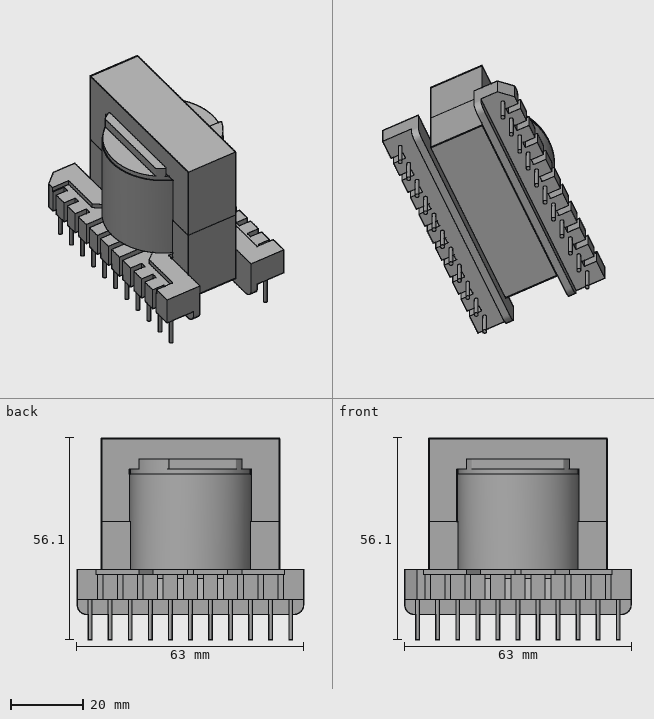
import cadquery as cq

length = 62.95
width = 38.89
rail_inner_y = 8.5
rail_height = 8.4
web_thickness = 1.4
web_length = 31.5
corner_cut_x = 3.4
corner_cut_y = 3.75

recess_length = 52.35
recess_back_y = 14.05
recess_funnel_mouth_x = 14.3
recess_funnel_end_x = 10.35
recess_funnel_end_y = 9.25
wire_slit_width = 1.6

pin_count = 11
pitch = 5.57
slot_width = 1.6
slot_depth = 3.7
ramped_slots = 4
ramp_height = 5.8

pin_diameter = 1.1
pin_length = 11.2
pin_y = 15.7
foot_depth = 4.2
foot_thickness = 2.15
foot_corner_radius = 2.8

tube_inner_radius = 8.2
tube_outer_radius = recess_funnel_end_y
flange_radius = 16.7
flange_thickness = web_thickness
ridge_inner_y = 8.25
ridge_outer_y = 10.85
ridge_height = 2.8
end_block_x = 5.95
ridge_edge_radius = 0.3

winding_radius = 16.93
tape_thickness = 0.25
tape_corner_radius = tape_thickness
overall_height = 56.09
core_width = 49.1
core_depth = 15.7
core_yoke = 8.4
leg_radius = core_depth / 2
upper_window_width = 2 * winding_radius
lower_window_width = 33.4

web_bottom = rail_height - web_thickness
core_bottom = web_bottom - core_yoke
tape_top = overall_height - pin_length
core_top = tape_top - tape_thickness
core_split = (core_bottom + core_top) / 2
flange_top = core_top - core_yoke
winding_top = flange_top - flange_thickness


def box(x_min, x_max, y_min, y_max, z_min, z_max):
    return (
        cq.Workplane("XY")
        .box(x_max - x_min, y_max - y_min, z_max - z_min, centered=False)
        .translate((x_min, y_min, z_min))
    )


def cylinder(radius, z_min, z_max):
    return cq.Workplane("XY").workplane(offset=z_min).circle(radius).extrude(z_max - z_min)


def make_recess():
    half = recess_length / 2
    outline = [
        (-half, -width / 2),
        (-half, -recess_back_y),
        (-recess_funnel_mouth_x, -recess_back_y),
        (-recess_funnel_end_x, -recess_funnel_end_y),
        (recess_funnel_end_x, -recess_funnel_end_y),
        (recess_funnel_mouth_x, -recess_back_y),
        (half, -recess_back_y),
        (half, -width / 2),
    ]
    recess = cq.Workplane("XY").workplane(offset=web_bottom).polyline(outline).close().extrude(web_thickness)
    slit = box(-wire_slit_width / 2, wire_slit_width / 2, -recess_funnel_end_y, 0, web_bottom, rail_height)
    return recess.union(slit)


def make_slots():
    slot_end_y = -width / 2 + slot_depth
    slots = cq.Workplane("XY")
    ramp_outline = [
        (slot_end_y, 0),
        (slot_end_y, web_bottom),
        (slot_end_y + ramp_height, web_bottom),
        (slot_end_y + ramp_height, ramp_height),
    ]
    for i in range(pin_count - 1):
        x = (i - (pin_count - 2) / 2) * pitch
        slots = slots.union(
            box(x - slot_width / 2, x + slot_width / 2, -width / 2, slot_end_y, 0, rail_height)
        )
        if abs(x) < ramped_slots / 2 * pitch:
            ramp = (
                cq.Workplane("YZ", origin=(x, 0, 0))
                .polyline(ramp_outline)
                .close()
                .extrude(slot_width / 2, both=True)
            )
            slots = slots.union(ramp)
    return slots


def make_rail():
    rail = box(-length / 2, length / 2, -width / 2, -rail_inner_y, 0, rail_height)
    rail = rail.cut(make_recess()).cut(make_slots())
    foot = (
        box(
            -length / 2, length / 2,
            -rail_inner_y - foot_thickness, -rail_inner_y,
            -foot_depth, 0,
        )
        .edges("<Z and |Y")
        .fillet(foot_corner_radius)
    )
    rail = rail.union(foot)
    for i in range(pin_count):
        x = (i - (pin_count - 1) / 2) * pitch
        pin = cylinder(pin_diameter / 2, -pin_length, 0).translate((x, -pin_y, 0))
        rail = rail.union(pin)
    return rail


def make_corner_cut():
    return (
        cq.Workplane("XY")
        .moveTo(-length / 2, -width / 2)
        .lineTo(-length / 2 + corner_cut_x, -width / 2)
        .lineTo(-length / 2, -width / 2 + corner_cut_y)
        .close()
        .extrude(rail_height)
    )


def make_flange():
    flange = cylinder(flange_radius, winding_top, flange_top)
    ridge_top = flange_top + ridge_height
    r = flange_radius
    rim = cylinder(r, flange_top, ridge_top)
    front_ridge = box(-r, r, -ridge_outer_y, -ridge_inner_y, flange_top, ridge_top).intersect(rim)
    back_ridge = box(-r, r, ridge_inner_y, ridge_outer_y, flange_top, ridge_top)
    end_block = box(end_block_x, r, ridge_inner_y, r, flange_top, ridge_top)
    back_ridge = back_ridge.union(end_block).intersect(rim).clean()
    front_ridge = front_ridge.edges("|Z").fillet(ridge_edge_radius)
    back_ridge = back_ridge.edges("|Z").fillet(ridge_edge_radius)
    return flange.union(front_ridge).union(back_ridge)


def make_former():
    front_rail = make_rail().cut(make_corner_cut())
    back_rail = make_rail().mirror("XZ")
    web = box(-web_length / 2, web_length / 2, -rail_inner_y, rail_inner_y, web_bottom, rail_height)
    web = web.cut(make_recess()).cut(make_recess().mirror("XZ"))
    former = web.union(front_rail).union(back_rail)
    former = former.union(cylinder(tube_outer_radius, rail_height, winding_top)).union(make_flange())
    return former.cut(cylinder(tube_inner_radius, web_bottom, flange_top))


def make_winding():
    coil = cylinder(winding_radius, rail_height, winding_top)
    coil = coil.cut(cylinder(tube_outer_radius, rail_height, winding_top))
    half_window = lower_window_width / 2
    for x_min, x_max in [(half_window, winding_radius), (-winding_radius, -half_window)]:
        coil = coil.cut(box(x_min, x_max, -core_depth / 2, core_depth / 2, rail_height, core_split))
    return coil


def make_core_half(z_min, z_max, window_width):
    half = box(-core_width / 2, core_width / 2, -core_depth / 2, core_depth / 2, z_min, z_max)
    window = box(
        -window_width / 2, window_width / 2, -core_depth / 2, core_depth / 2, web_bottom, flange_top
    )
    leg = cylinder(leg_radius, z_min, z_max)
    return half.cut(window).union(leg)


def make_tape_section(z_min, z_max):
    half = core_width / 2 + tape_thickness
    return box(-half, half, -core_depth / 2, core_depth / 2, z_min, z_max)


def make_tape():
    upper = make_tape_section(core_split, tape_top).edges(">Z and |Y").fillet(tape_corner_radius)
    lower = make_tape_section(core_bottom, core_split)
    core_space = box(
        -core_width / 2, core_width / 2, -core_depth / 2, core_depth / 2, core_bottom, core_top
    )
    return upper.union(lower).cut(core_space)


former = make_former()
winding = make_winding()
lower_core = make_core_half(core_bottom, core_split, lower_window_width)
upper_core = make_core_half(core_split, core_top, upper_window_width)
tape = make_tape()

result = cq.Compound.makeCompound(
    [former.val(), winding.val(), lower_core.val(), upper_core.val(), tape.val()]
)